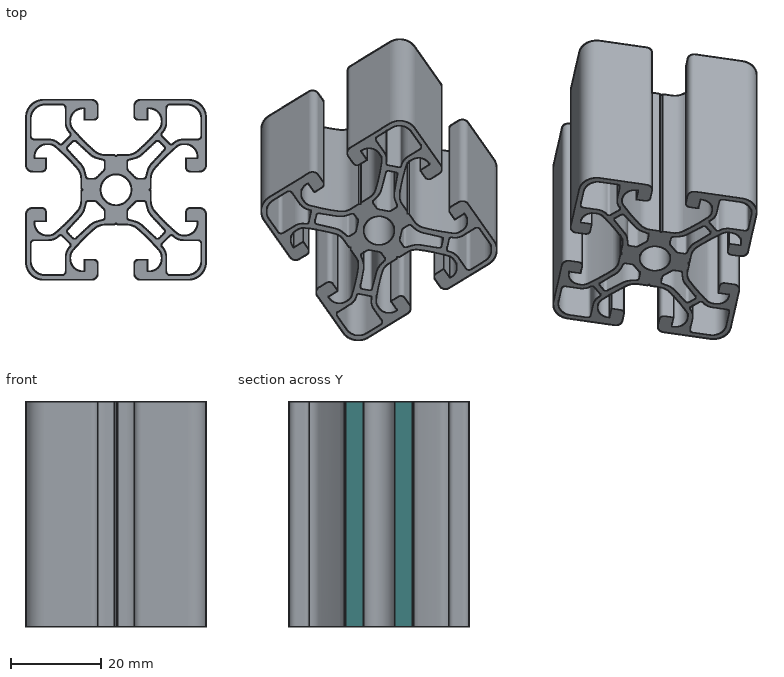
import cadquery as cq
import math


width = 40.0
length = 50.0
half = width / 2
outer_radius = 4.0
bore_diameter = 6.8

mouth_half_width = 4.0
mouth_radius = 1.5
lip_depth = 4.5
lip_inner_radius = 1.0
lip_end = 7.0

arc_radius = 2.7
arm_radius = 2.25
arc_centre_across = 7.4
arc_centre_out = 15.35

floor_height = 7.75
floor_radius = 3.5
groove_half_width = 0.35
groove_depth = 0.3

arm_half_width = 2.8
arm_waist_half_width = 2.5
arm_waist_distance = 12.5
arm_waist_radius = 45.0

outer_wall = 1.1
cavity_wall = 1.1

cavity_corner_radius = 3.15
cavity_tip_radius = 0.75
web_outer_distance = 15.65
web_corner_radius = 0.5

web_thickness = 1.3
pocket_side = 2.5
pocket_inner_distance = 4.95
pocket_inner_radius = 0.9
pocket_outer_radius = 0.55
pocket_tip_radius = 0.5
pocket_tip_height = 6.55
pocket_bend = 5.1
pocket_bend_radius = 4.0
pocket_bend_half_width = 1.5
pocket_end_half_width = 1.3

root2 = math.sqrt(2)
slot_offset = arm_half_width * root2
cavity_half_width = arm_half_width - cavity_wall
cavity_offset = cavity_half_width * root2
touch_tolerance = 5e-07


def rounded_wire(corners):
    """Closed outline from (x, y, radius) corners; radius 0 leaves a corner sharp."""
    rounds = []
    for index, (x, y, radius) in enumerate(corners):
        point = cq.Vector(x, y)
        before = (cq.Vector(*corners[index - 1][:2]) - point).normalized()
        after = (cq.Vector(*corners[(index + 1) % len(corners)][:2]) - point).normalized()
        half_angle = before.getAngle(after) / 2
        setback = radius / math.tan(half_angle)
        bisector = (before + after).normalized()
        middle = point + bisector * (radius / math.sin(half_angle) - radius)
        rounds.append((point + before * setback, middle, point + after * setback, radius))

    edges = []
    for index, (start, middle, end, radius) in enumerate(rounds):
        previous_end = rounds[index - 1][2]
        if (start - previous_end).Length > touch_tolerance:
            edges.append(cq.Edge.makeLine(previous_end, start))
        if radius > 0:
            edges.append(cq.Edge.makeThreePointArc(start, middle, end))
    return cq.Wire.assembleEdges(edges)


def diagonal_corner(distance, half_width, radius):
    """Corner at a distance along the +X +Y diagonal and a half width to its +Y side."""
    return ((distance - half_width) / root2, (distance + half_width) / root2, radius)


def swapped(corners):
    """Mirror image across the diagonal y = x, in reverse order."""
    return [(y, x, radius) for x, y, radius in reversed(corners)]


def turned(corners, quarter_turns):
    """Corners rotated about the centre by quarter turns."""
    for _ in range(quarter_turns):
        corners = [(-y, x, radius) for x, y, radius in corners]
    return corners


def prism(corners):
    """Full-length solid with the given rounded outline."""
    return cq.Workplane("XY").add(rounded_wire(corners)).toPending().extrude(length)


arc_side = arc_centre_across + arc_radius
half_slot = [
    (groove_half_width, floor_height, 0),
    (floor_height - slot_offset, floor_height, floor_radius),
    diagonal_corner(arm_waist_distance, arm_waist_half_width, arm_waist_radius),
    (arc_side, arc_side + slot_offset, arm_radius),
    (arc_side, arc_centre_out + arc_radius, arc_radius),
    (lip_end, arc_centre_out + arc_radius, 0),
    (lip_end, half - lip_depth, 0),
    (mouth_half_width, half - lip_depth, lip_inner_radius),
    (mouth_half_width, half, mouth_radius),
]
groove_bottom = [(0, floor_height - groove_depth, 0)]
quarter = groove_bottom + half_slot + [(half, half, outer_radius)] + swapped(half_slot)
outline = []
for turn in range(4):
    outline += turned(quarter, (4 - turn) % 4)

cavity_outer = half - outer_wall
cavity_inner = arc_side + cavity_wall
half_cavity = [
    diagonal_corner(web_outer_distance, cavity_half_width, web_corner_radius),
    (cavity_inner, cavity_inner + cavity_offset, arm_radius + cavity_wall),
    (cavity_inner, cavity_outer, cavity_tip_radius),
]
cavity_corner = [(cavity_outer, cavity_outer, cavity_corner_radius)]
cavity = half_cavity + cavity_corner + swapped(half_cavity)

pocket_inner_sum = pocket_inner_distance * root2
half_pocket = [
    (pocket_side, pocket_inner_sum - pocket_side, pocket_inner_radius),
    (pocket_side, pocket_tip_height, pocket_tip_radius),
    (pocket_bend, pocket_bend + pocket_bend_half_width * root2, pocket_bend_radius),
    diagonal_corner(web_outer_distance - web_thickness, pocket_end_half_width, pocket_outer_radius),
]
pocket = half_pocket + swapped(half_pocket)

result = prism(outline)
for turn in range(4):
    result = result.cut(prism(turned(cavity, turn)))
    result = result.cut(prism(turned(pocket, turn)))

result = result.cut(cq.Workplane("XY").circle(bore_diameter / 2).extrude(length)).clean()